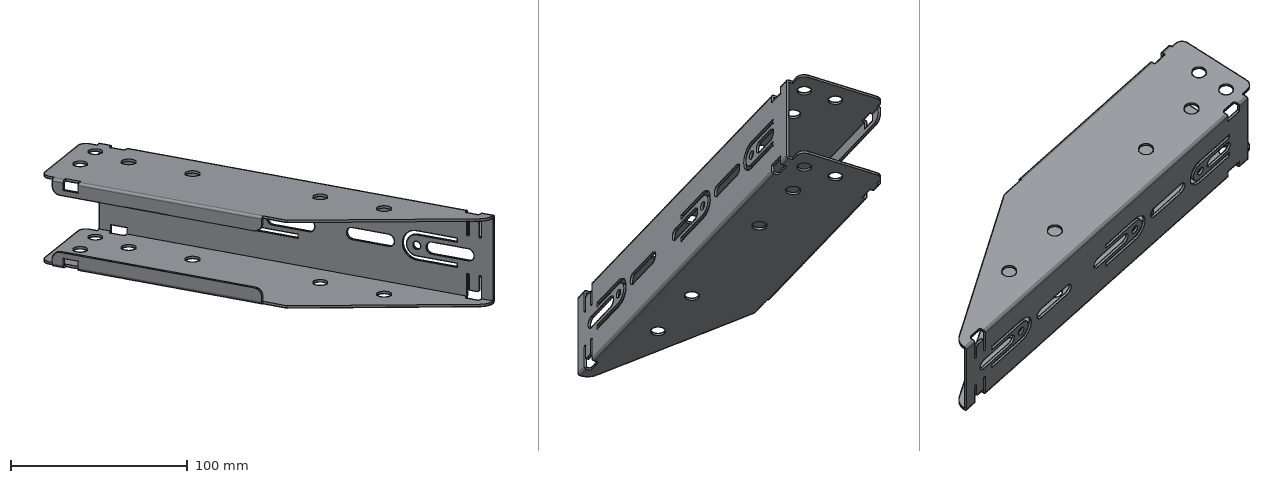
import cadquery as cq

length = 257.0
depth = 60.0
height = 54.0
sheet = 1.5
bend_radius = 1.5
top_z = height / 2
margin = 2.5
cut_depth = sheet + 2 * margin

relief_depth = 4.0
front_relief = 2.3
plate_corner = 5.0
taper_start = 154.7
taper_end_y = depth - 7.0
nose_radius = 8.5

web_start = 9.5
lip_start = 8.0
lip_end = 139.5
lip_height = 9.5
lip_corner = 5.0

row_hole_diameter = 8.5
row_y = depth - 19.0
row_pitch = 40.0
row_first_x = 36.5
row_steps = (0, 1, 3, 4)
end_hole_diameter = 8.2
end_hole_x = 12.8
end_hole_first_y = depth - 13.4
end_hole_pitch = 20.0

web_window_height = 5.5
web_window_corner = 1.3
rear_window = (16.7, 27.0)
tip_window = (240.3, 249.5)
lip_window = (15.0, 24.2)
lip_window_height = 6.2
lip_window_depth = 3.0
tongue_slit_end = 15.5
tongue_slit_width = 1.5
tongue_corner = 1.0

web_pitch = 100.0
slot_length = 30.0
short_slot_length = 20.3
slot_width = 7.5
plain_slot_x = 80.0
pin_hole_diameter = 5.0
first_tongue_x = 51.1
second_tongue_x = 109.0
pin_to_slot_end = 6.0
u_outer_radius = 9.0
u_inner_radius = 6.5
u_leg = 25.5


def box(x_range, y_range, z_range):
    """Axis-aligned block given by its limits."""
    (x0, x1), (y0, y1), (z0, z1) = x_range, y_range, z_range
    return cq.Workplane("XY").box(x1 - x0, y1 - y0, z1 - z0, centered=False).translate((x0, y0, z0))


def both_sides(upper):
    """The given upper shape together with its mirror image below."""
    return upper.union(upper.mirror("XY"))


def channel():
    """Bent profile: web at the back, two side plates and two lips at the front."""
    outer = box((0, length), (0, depth), (-top_z, top_z)).edges("|X").fillet(bend_radius)
    inside = box((-margin, length + margin), (sheet, depth - sheet), (-top_z + sheet, top_z - sheet))
    lip_z = top_z - lip_height
    gap = box((-margin, length + margin), (-margin, sheet + margin), (-lip_z, lip_z))
    return outer.cut(inside).cut(gap)


def side_outline():
    """Block of full height with the outline of the part in XY."""
    body = (
        cq.Workplane("XY")
        .workplane(offset=-top_z)
        .polyline([
            (0, front_relief),
            (lip_start, front_relief),
            (lip_start, 0),
            (lip_end, 0),
            (lip_end, sheet),
            (taper_start, sheet),
            (length, taper_end_y),
            (length, depth),
            (web_start, depth),
            (web_start, depth - relief_depth),
            (0, depth - relief_depth),
        ])
        .close()
        .extrude(height)
    )
    body = body.edges("|Z and <X").fillet(plate_corner)
    nose = cq.selectors.NearestToPointSelector((length, taper_end_y, 0))
    return body.edges(nose).fillet(nose_radius)


def round_lips(body):
    """Round the free corners of both lips."""
    lip_z = top_z - lip_height
    free_corners = cq.selectors.BoxSelector(
        (lip_start - margin, -margin, -lip_z - margin),
        (lip_end + margin, sheet + margin, lip_z + margin),
    )
    return body.edges("|Y").edges(free_corners).fillet(lip_corner)


def plate_holes():
    """Round holes through both side plates."""
    row = [(row_first_x + step * row_pitch, row_y) for step in row_steps]
    pair = [(end_hole_x, end_hole_first_y - step * end_hole_pitch) for step in (0, 1)]
    base = cq.Workplane("XY").workplane(offset=-top_z - margin)
    tool_height = height + 2 * margin
    row_tool = base.pushPoints(row).circle(row_hole_diameter / 2).extrude(tool_height)
    return row_tool.union(base.pushPoints(pair).circle(end_hole_diameter / 2).extrude(tool_height))


def web_window(x_range):
    """Opening across the bend between web and upper plate."""
    window = box(
        x_range,
        (depth - relief_depth, depth + margin),
        (top_z - web_window_height, top_z + margin),
    )
    return window.edges("|Z and <Y").fillet(web_window_corner)


def lip_opening():
    """Opening across the bend between lip and upper plate."""
    return box(lip_window, (-margin, lip_window_depth), (top_z - lip_window_height, top_z + margin))


def tongue_cut():
    """Opening around the upper tip tongue: a gap above it and a round-ended slit on each side."""
    x0, x1 = tip_window
    slit_radius = tongue_slit_width / 2
    round_z = top_z - tongue_slit_end + slit_radius
    y_range = (depth - sheet - margin, depth + margin)
    frame = box(tip_window, y_range, (round_z, top_z - sheet))
    tongue = box(
        (x0 + tongue_slit_width, x1 - tongue_slit_width),
        y_range,
        (round_z - margin, top_z - web_window_height),
    )
    slit_ends = (
        cq.Workplane("XZ", origin=(0, depth + margin, 0))
        .pushPoints([(x0 + slit_radius, round_z), (x1 - slit_radius, round_z)])
        .circle(slit_radius)
        .extrude(cut_depth)
    )
    return frame.cut(tongue.edges("|Y and >Z").fillet(tongue_corner)).union(slit_ends)


def web_slot(x_center, slot_size):
    """Round-ended slot through the web, lying along X."""
    return (
        cq.Workplane("XZ", origin=(x_center, depth + margin, 0))
        .slot2D(slot_size, slot_width)
        .extrude(cut_depth)
    )


def u_cut(x_pin, direction, slot_size):
    """U-shaped cut, pin hole and slot beside it.

    The legs and the slot point along direction (+1 or -1 in X), away from the bow.
    """
    plane = cq.Workplane("XZ", origin=(x_pin, depth + margin, 0))
    leg_end = direction * u_leg

    def tongue(radius):
        """Round-nosed block around the pin hole."""
        return (
            plane.moveTo(leg_end, radius)
            .lineTo(0, radius)
            .threePointArc((-direction * radius, 0), (0, -radius))
            .lineTo(leg_end, -radius)
            .close()
            .extrude(cut_depth)
        )

    pin = plane.circle(pin_hole_diameter / 2).extrude(cut_depth)
    slot = web_slot(x_pin + direction * (pin_to_slot_end + slot_size / 2), slot_size)
    return tongue(u_outer_radius).cut(tongue(u_inner_radius)).union(pin).union(slot)


result = round_lips(channel().intersect(side_outline()))
result = result.cut(plate_holes())
for x_range in (rear_window, tip_window):
    result = result.cut(both_sides(web_window(x_range)))
result = result.cut(both_sides(lip_opening()))
result = result.cut(both_sides(tongue_cut()))
for step in (0, 1):
    result = result.cut(web_slot(plain_slot_x + step * web_pitch, slot_length))
    result = result.cut(u_cut(second_tongue_x + step * web_pitch, 1, slot_length))
result = result.cut(u_cut(first_tongue_x, -1, short_slot_length))